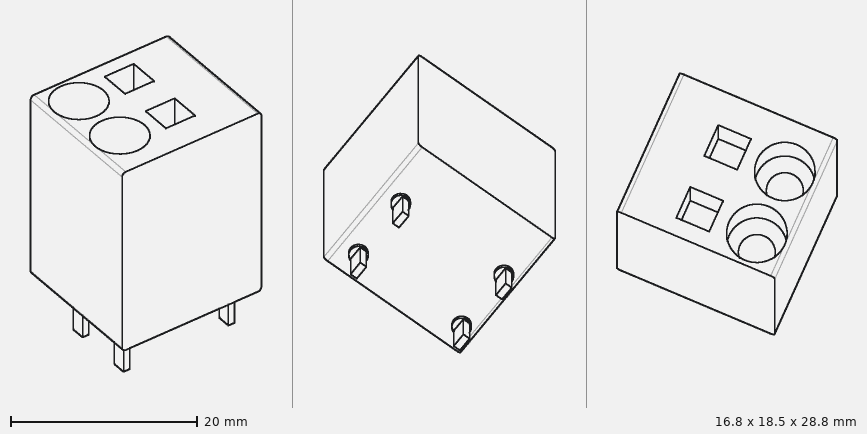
import cadquery as cq
import math

width = 16.8
depth = 18.5
overall_height = 28.75
edge_radius = 0.5

pole_count = 2
pole_pitch = 7.5
first_pole_x = 3.75

entry_y = 3.7
entry_diameter = 6.5
entry_floor_diameter = 3.97
entry_straight_depth = 5.75
taper_angle = 60.0
entry_taper_depth = (entry_diameter - entry_floor_diameter) / 2 * math.tan(math.radians(taper_angle))
pocket_y = 10.4
pocket_size_x = 3.75
pocket_size_y = 3.85
pocket_depth = 5.75

first_pin_x = 6.55
front_pin_y = 1.95
rear_pin_y = 15.87
pin_size_x = 1.72
pin_size_y = 0.83
pin_length = 4.08
foot_diameter = 2.1
foot_height = 0.52

height = overall_height - foot_height - pin_length
pole_offsets = [pole * pole_pitch for pole in range(pole_count)]
entry_points = [(first_pole_x + offset, entry_y) for offset in pole_offsets]
pocket_points = [(first_pole_x + offset, pocket_y) for offset in pole_offsets]
pin_points = [(first_pin_x + offset, y) for offset in pole_offsets for y in (front_pin_y, rear_pin_y)]


def make_entry_cutter(x, y):
    """Straight round bore that tapers to a smaller flat floor."""
    taper_top = height - entry_straight_depth
    bore = (
        cq.Workplane("XY", origin=(x, y, taper_top))
        .circle(entry_diameter / 2)
        .extrude(entry_straight_depth)
    )
    taper = cq.Solid.makeCone(
        entry_diameter / 2,
        entry_floor_diameter / 2,
        entry_taper_depth,
        pnt=cq.Vector(x, y, taper_top),
        dir=cq.Vector(0, 0, -1),
    )
    return bore.union(cq.Workplane(taper))


def make_housing():
    """Block with rounded long edges, entries, pockets and spacer feet."""
    block = cq.Workplane("XY").box(width, depth, height, centered=False)
    block = block.edges("|X").fillet(edge_radius)

    for x, y in entry_points:
        block = block.cut(make_entry_cutter(x, y))

    pockets = (
        cq.Workplane("XY", origin=(0, 0, height))
        .pushPoints(pocket_points)
        .rect(pocket_size_x, pocket_size_y)
        .extrude(-pocket_depth)
    )
    feet = (
        cq.Workplane("XY")
        .pushPoints(pin_points)
        .circle(foot_diameter / 2)
        .extrude(-foot_height)
    )
    return block.cut(pockets).union(feet)


def make_pin(x, y):
    """Flat rectangular solder pin standing against the underside of its foot."""
    return (
        cq.Workplane("XY", origin=(x, y, -foot_height))
        .rect(pin_size_x, pin_size_y)
        .extrude(-pin_length)
    )


housing = make_housing()
pins = [make_pin(x, y) for x, y in pin_points]

result = cq.Compound.makeCompound([housing.val(), *[pin.val() for pin in pins]])